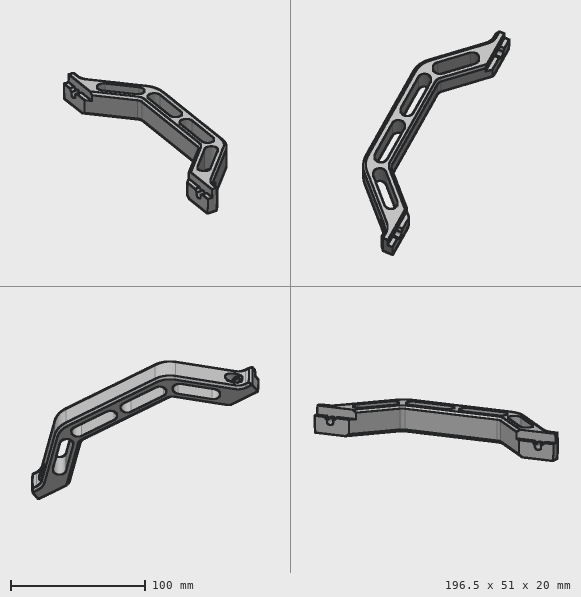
import cadquery as cq
import math

length = 196.53
depth = 51.0
height = 20.0

bar_inner_y = 30.0
foot_thickness = 10.0
inner_slope_offset = 70.0
outer_slope_offset = 98.9
inner_bend_radius = 5.0
outer_bend_radius = 20.0
foot_bend_radius = 10.0
edge_chamfer = 2.0

slot_width = 10.0
slot_web = 5.0
bar_slot_y = 40.0
arm_slot_offset = (inner_slope_offset + outer_slope_offset) / 2
arm_slot_reach = 39.0
slope_angle = 45.0

step_depth = 4.0
step_height = 13.0
screw_x = 85.5
screw_z = height / 2
screw_diameter = 5.4
counterbore_diameter = 10.0
counterbore_floor_y = foot_thickness
notch_half_width = 4.6

half_length = length / 2
bend_to_slot_centre = (slot_web + slot_width) / 2 / math.cos(math.radians(slope_angle / 2))


def make_bow():
    """Extruded bow outline with rounded bends and barrel-shaped ends."""
    inner_bend = (bar_inner_y - inner_slope_offset, bar_inner_y)
    foot_bend = (foot_thickness - outer_slope_offset, foot_thickness)
    outer_bend = (depth - outer_slope_offset, depth)
    left_points = [
        inner_bend,
        (-inner_slope_offset, 0),
        (-half_length, 0),
        (-half_length, foot_thickness),
        foot_bend,
        outer_bend,
    ]
    right_points = [(-x, y) for x, y in reversed(left_points)]
    bow = cq.Workplane("XY").polyline(left_points + right_points).close().extrude(height)

    bends = [
        (inner_bend, inner_bend_radius),
        (foot_bend, foot_bend_radius),
        (outer_bend, outer_bend_radius),
    ]
    for (x, y), radius in bends:
        for side in (x, -x):
            at_bend = cq.selectors.NearestToPointSelector((side, y, height / 2))
            bow = bow.edges("|Z").edges(at_bend).fillet(radius)

    barrel = (
        cq.Workplane("XZ", origin=(0, 0, height / 2))
        .circle(half_length)
        .extrude(-depth)
    )
    return bow.intersect(barrel)


def chamfer_bow(bow):
    """Chamfer the outer and inner edge runs and the back edge of both ends."""
    edge_middles = [(side, foot_thickness, height / 2) for side in (-half_length, half_length)]
    for z in (0, height):
        edge_middles += [(0, depth, z), (0, bar_inner_y, z)]
    picks = []
    for middle in edge_middles:
        picks += bow.edges(cq.selectors.NearestToPointSelector(middle)).vals()
    return bow.newObject(picks).chamfer(edge_chamfer)


def make_slot(far_end):
    """Round-ended slot along +X from a bend at the origin, its far end at x = far_end."""
    near_end = bend_to_slot_centre - slot_width / 2
    slot_length = far_end - near_end
    return (
        cq.Workplane("XY")
        .center((near_end + far_end) / 2, 0)
        .slot2D(slot_length, slot_width)
        .extrude(height)
    )


def make_left_slots():
    """Bar slot and arm slot meeting at the left bend."""
    bend_x = bar_slot_y - arm_slot_offset
    bar_slot = make_slot(-bend_x - slot_web / 2)
    arm_slot = make_slot(arm_slot_reach).rotate((0, 0, 0), (0, 0, 1), 180 + slope_angle)
    return bar_slot.union(arm_slot).translate((bend_x, bar_slot_y, 0))


def make_left_foot_cuts():
    """Step, V notch, screw hole and counterbore of the left foot."""
    step = cq.Workplane("XY").box(half_length, step_depth, height - step_height, centered=False)
    step = step.translate((-half_length, 0, step_height))
    notch = (
        cq.Workplane("XZ")
        .polyline([
            (-screw_x - notch_half_width, step_height),
            (-screw_x + notch_half_width, step_height),
            (-screw_x, step_height - notch_half_width),
        ])
        .close()
        .extrude(-step_depth)
    )
    screw_axis = cq.Workplane("XZ").center(-screw_x, screw_z)
    hole = screw_axis.circle(screw_diameter / 2).extrude(-depth)
    counterbore = (
        screw_axis.workplane(offset=-counterbore_floor_y)
        .circle(counterbore_diameter / 2)
        .extrude(counterbore_floor_y - depth)
    )
    return step.union(notch).union(hole).union(counterbore)


result = chamfer_bow(make_bow())
for left_cut in (make_left_slots(), make_left_foot_cuts()):
    result = result.cut(left_cut).cut(left_cut.mirror("YZ"))